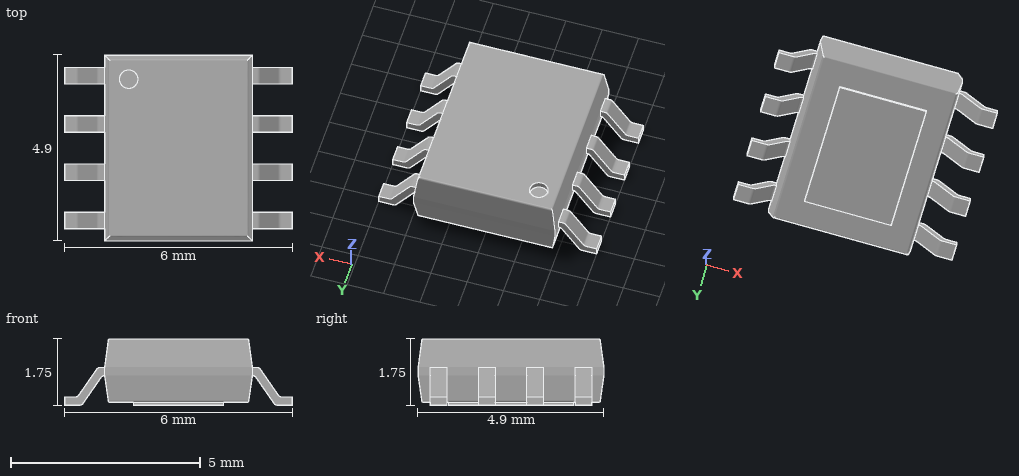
import cadquery as cq
import math

TOTAL_SPAN = 6.0
HEIGHT = 1.75

BODY_X = 3.9
BODY_Y = 4.9
STANDOFF = 0.08
TAPER_INSET = 0.1
EDGE_RADIUS = 0.05

MARK_DIAMETER = 0.485
MARK_DEPTH = 0.19
MARK_INSET = 0.635

LEADS_PER_SIDE = 4
LEAD_PITCH = 1.27
LEAD_WIDTH = 0.445
LEAD_THICKNESS = 0.22
LEAD_TOP = 1.0
SHOULDER_LENGTH = 0.175
FOOT_LENGTH = 0.335
BEND_RADIUS = 0.11

PAD_X = 2.38
PAD_Y = 3.3

BAND_BOTTOM = LEAD_TOP - LEAD_THICKNESS


def tapered_half(parting_height, face_height, face_side):
    """One half of the housing: walls leaning in from the band to an end face with rounded edges."""
    return (
        cq.Workplane("XY", origin=(0, 0, parting_height))
        .rect(BODY_X, BODY_Y)
        .workplane(offset=face_height - parting_height)
        .rect(BODY_X - 2 * TAPER_INSET, BODY_Y - 2 * TAPER_INSET)
        .loft(ruled=True)
        .faces(face_side)
        .edges()
        .fillet(EDGE_RADIUS)
    )


def make_housing():
    """Housing with a straight band, two tapered halves and the round pin 1 recess."""
    band = (
        cq.Workplane("XY", origin=(0, 0, BAND_BOTTOM))
        .rect(BODY_X, BODY_Y)
        .extrude(LEAD_THICKNESS)
    )
    mark = (
        cq.Workplane("XY", origin=(MARK_INSET - BODY_X / 2, BODY_Y / 2 - MARK_INSET, HEIGHT))
        .circle(MARK_DIAMETER / 2)
        .extrude(-MARK_DEPTH)
    )
    upper_half = tapered_half(LEAD_TOP, HEIGHT, ">Z")
    lower_half = tapered_half(BAND_BOTTOM, STANDOFF, "<Z")
    return band.union(upper_half).union(lower_half).cut(mark)


def make_lead():
    """Lead on the +X side, centred on Y = 0: shoulder, slope and foot of one thickness."""
    wall = BODY_X / 2
    tip = TOTAL_SPAN / 2
    upper_corner = wall + SHOULDER_LENGTH
    lower_corner = tip - FOOT_LENGTH
    slope_angle = math.atan2(LEAD_TOP - LEAD_THICKNESS, lower_corner - upper_corner)
    corner_shift = LEAD_THICKNESS * math.tan(slope_angle / 2)
    outline = [
        (wall, LEAD_TOP),
        (upper_corner, LEAD_TOP),
        (lower_corner, LEAD_THICKNESS),
        (tip, LEAD_THICKNESS),
        (tip, 0),
        (lower_corner - corner_shift, 0),
        (upper_corner - corner_shift, BAND_BOTTOM),
        (wall, BAND_BOTTOM),
    ]
    blank = (
        cq.Workplane("XZ", origin=(0, LEAD_WIDTH / 2, 0))
        .polyline(outline)
        .close()
        .extrude(LEAD_WIDTH)
    )
    return blank.edges("|Y").edges("not(<X or >X)").fillet(BEND_RADIUS)


def make_leads():
    """Two mirrored rows of leads, evenly pitched along Y."""
    leads = []
    for side_angle in (0, 180):
        for index in range(LEADS_PER_SIDE):
            y = (index - (LEADS_PER_SIDE - 1) / 2) * LEAD_PITCH
            lead = make_lead().rotate((0, 0, 0), (0, 0, 1), side_angle).translate((0, y, 0))
            leads.append(lead.val())
    return leads


def make_pad():
    """Flat pad filling the standoff under the housing."""
    return cq.Workplane("XY").rect(PAD_X, PAD_Y).extrude(STANDOFF)


housing = make_housing()
leads = make_leads()
pad = make_pad()

result = cq.Compound.makeCompound([housing.val(), *leads, pad.val()])